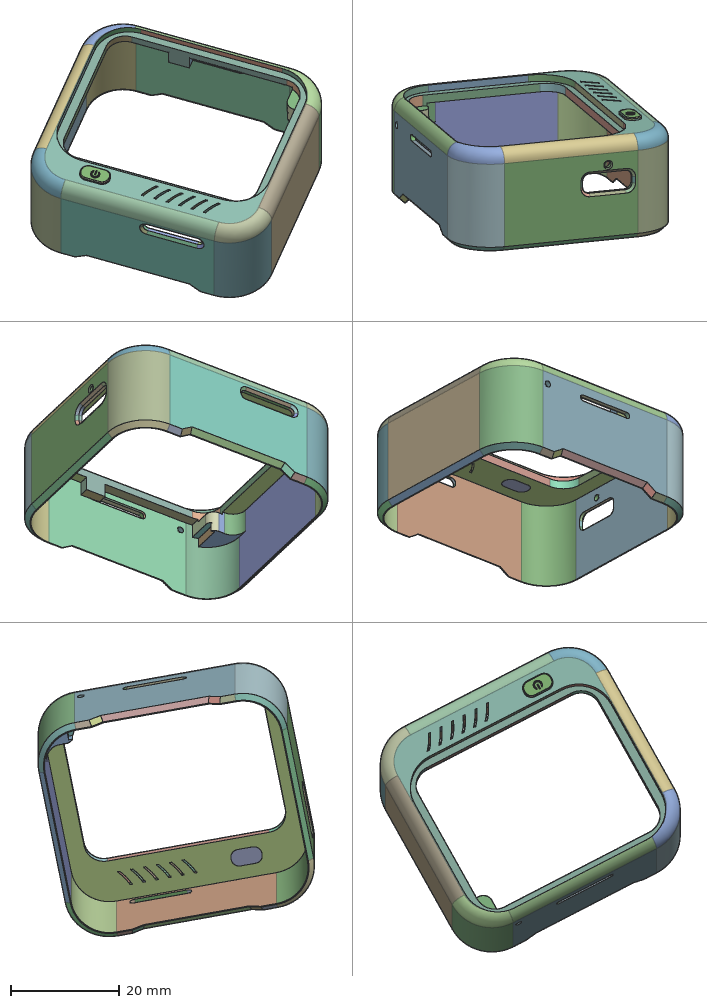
import cadquery as cq
import math

LENGTH = 46.75
WIDTH = 42.75
HEIGHT = 19.6
CORNER_RADIUS = 8.33
TOP_FILLET = 2.55
BOTTOM_CHAMFER = 1.0
WALL = 1.15
TOP_PLATE = 2.9
PLATE_UNDERSIDE = HEIGHT - TOP_PLATE
INNER_BACK_Y = WIDTH / 2 - WALL
INNER_RIGHT_X = LENGTH / 2 - WALL

OPENING_LENGTH = 37.9
OPENING_WIDTH = 30.4
OPENING_CENTER_Y = 3.05
OPENING_RADIUS = 3.75
OPENING_DEPTH = 3.4
LEDGE_SIDES = 1.7
LEDGE_ENDS = 1.35
RECESS_DEPTH = 1.3
RECESS_RADIUS = 6.8

NOTCH_LENGTH = 19.85
NOTCH_FOOT_LENGTH = 24.15
NOTCH_HEIGHT = 1.35

OPENING_CHAMFER = 0.5
CHAMFER_ANGLE = 45.0
FRONT_SLOT_LENGTH = 11.6
FRONT_SLOT_HEIGHT = 1.85
FRONT_SLOT_RADIUS = 0.9
FRONT_SLOT_X = 6.75
FRONT_SLOT_Z = 14.95
BACK_SLOT_LENGTH = 11.9
BACK_SLOT_X = 0.0
WINDOW_LENGTH = 9.65
WINDOW_HEIGHT = 3.75
WINDOW_RADIUS = 1.25
WINDOW_Y = -7.2
WINDOW_Z = 11.35
PINHOLE_DIAMETER = 1.2
PINHOLE_FLARE_DIAMETER = 1.7
PINHOLE_FLARE_DEPTH = (PINHOLE_FLARE_DIAMETER - PINHOLE_DIAMETER) / 2
LEFT_PINHOLE_Z = 14.8
BACK_PINHOLE_Z = 14.65
BACK_PINHOLE_X = 13.9

VENT_COUNT = 6
VENT_PITCH = 2.45
VENT_FIRST_X = 0.5
VENT_Y = -16.05
VENT_RISE = 2.9
VENT_RUN = 1.82
VENT_BOW = 0.1
VENT_WIDTH = 0.4

SUPPORT_BOTTOM = 13.85
BLOCK_LENGTH = 4.05
BLOCK_LEFT_X = -8.0
POST_LEFT_X = 16.35
POST_FRONT_Y = 13.7
POST_EDGE_RADIUS = 1.8
POST_ROOT_RADIUS = 2.8
POST_BOTTOM = 11.9
STEP_DEPTH = 1.15
STEP_MARGIN = 0.65

BUTTON_LENGTH = 5.8
BUTTON_WIDTH = 3.27
BUTTON_X = -10.2
BUTTON_Y = -16.05
BUTTON_PROUD = 0.5
BUTTON_CHAMFER = 0.2
BUTTON_RADIUS = 1.5

SYMBOL_OUTER_DIAMETER = 1.7
SYMBOL_INNER_DIAMETER = 1.2
SYMBOL_GAP = 1.05
SYMBOL_BAR_WIDTH = 0.2
SYMBOL_BAR_LENGTH = 0.95
SYMBOL_DEPTH = 0.15


def rounded_block(length, width, radius, bottom, top, center=(0, 0)):
    """Upright block with rounded vertical edges."""
    return (
        cq.Workplane("XY", origin=(*center, bottom))
        .rect(length, width)
        .extrude(top - bottom)
        .edges("|Z")
        .fillet(radius)
    )


def make_outer_block():
    """Solid outer shape: rounded top, notched and chamfered lower edge."""
    block = rounded_block(LENGTH, WIDTH, CORNER_RADIUS, 0, HEIGHT)
    block = block.faces(">Z").edges().fillet(TOP_FILLET)
    foot = NOTCH_FOOT_LENGTH / 2
    crest = NOTCH_LENGTH / 2
    notch = (
        cq.Workplane("XZ")
        .polyline([(-foot, 0), (-crest, NOTCH_HEIGHT), (crest, NOTCH_HEIGHT), (foot, 0)])
        .close()
        .extrude(WIDTH, both=True)
    )
    block = block.cut(notch)
    rim_zone = cq.selectors.BoxSelector(
        (-LENGTH, -WIDTH, -NOTCH_HEIGHT), (LENGTH, WIDTH, 2 * NOTCH_HEIGHT)
    )
    notch_through_edges = cq.selectors.BoxSelector((-foot - 0.45, -0.45, -0.45), (foot + 0.45, 0.45, NOTCH_HEIGHT + 0.45))
    return block.edges(rim_zone - notch_through_edges).chamfer(BOTTOM_CHAMFER)


def make_openings():
    """Screen opening through the top plate and the wider recess above its ledge."""
    center = (0, OPENING_CENTER_Y)
    opening = rounded_block(
        OPENING_LENGTH, OPENING_WIDTH, OPENING_RADIUS, HEIGHT - OPENING_DEPTH, HEIGHT, center
    )
    recess = rounded_block(
        OPENING_LENGTH + 2 * LEDGE_SIDES,
        OPENING_WIDTH + 2 * LEDGE_ENDS,
        RECESS_RADIUS,
        HEIGHT - RECESS_DEPTH,
        HEIGHT,
        center,
    )
    return opening.union(recess)


def wall_cutter(length, height, radius, chamfer):
    """Rounded opening cut down from Z = 0 through a wall, with a chamfered mouth at Z = 0."""
    through = rounded_block(length, height, radius, -2 * WALL, 0)
    mouth_outline = (
        cq.Sketch()
        .rect(length + 2 * chamfer, height + 2 * chamfer)
        .vertices()
        .fillet(radius + chamfer)
    )
    mouth = cq.Workplane("XY").placeSketch(mouth_outline).extrude(-chamfer, taper=CHAMFER_ANGLE)
    return through.union(mouth)


def on_front(cutter, x, z):
    """Turn a cutter so that its mouth lies on the front face."""
    return cutter.rotate((0, 0, 0), (1, 0, 0), 90).translate((x, -WIDTH / 2, z))


def on_back_inside(cutter, x, z):
    """Turn a cutter so that its mouth lies on the inner face of the back wall."""
    return cutter.rotate((0, 0, 0), (1, 0, 0), 90).translate((x, INNER_BACK_Y, z))


def on_left(cutter, y, z):
    """Turn a cutter so that its mouth lies on the left face, its length along Y."""
    upright = cutter.rotate((0, 0, 0), (1, 0, 0), 90)
    return upright.rotate((0, 0, 0), (0, 0, 1), -90).translate((-LENGTH / 2, y, z))


def flared_slot_cutter(stretch):
    """Narrow slot along X with a chamfered mouth at Z = 0."""
    hole = cq.Workplane("XY").slot2D(stretch + PINHOLE_DIAMETER, PINHOLE_DIAMETER).extrude(-2 * WALL)
    flare = (
        cq.Workplane("XY")
        .slot2D(stretch + PINHOLE_FLARE_DIAMETER, PINHOLE_FLARE_DIAMETER)
        .extrude(-PINHOLE_FLARE_DEPTH, taper=CHAMFER_ANGLE)
    )
    return hole.union(flare)


def pinhole_cutter():
    """Small plain round hole through a wall."""
    return cq.Workplane("XY").circle(PINHOLE_DIAMETER / 2).extrude(-2 * WALL)


def flared_pinhole_cutter():
    """Small round hole with a chamfered mouth at Z = 0."""
    flare = (
        cq.Workplane("XY")
        .circle(PINHOLE_FLARE_DIAMETER / 2)
        .extrude(-PINHOLE_FLARE_DEPTH, taper=CHAMFER_ANGLE)
    )
    return pinhole_cutter().union(flare)


def make_vents():
    """Slanted, slightly bowed slots through the top plate in front of the screen opening."""
    x = VENT_RUN / 2
    y = VENT_RISE / 2
    spread = VENT_WIDTH / 2
    vent = (
        cq.Workplane("XY", origin=(VENT_FIRST_X, VENT_Y, PLATE_UNDERSIDE))
        .moveTo(-x - spread, -y)
        .threePointArc((-VENT_BOW - spread, VENT_BOW), (x - spread, y))
        .lineTo(x + spread, y)
        .threePointArc((-VENT_BOW + spread, VENT_BOW), (-x + spread, -y))
        .close()
        .extrude(TOP_PLATE)
    )
    vents = cq.Workplane("XY")
    for i in range(VENT_COUNT):
        vents = vents.add(vent.translate((i * VENT_PITCH, 0, 0)))
    return vents.combine()


def make_block():
    """Support block on the back wall under the ledge."""
    front_y = OPENING_CENTER_Y + OPENING_WIDTH / 2
    return cq.Workplane("XY").box(
        BLOCK_LENGTH, INNER_BACK_Y - front_y, PLATE_UNDERSIDE - SUPPORT_BOTTOM, centered=False
    ).translate((BLOCK_LEFT_X, front_y, SUPPORT_BOTTOM))


def make_post():
    """Corner post below the top plate, faired into the right wall and stepped on its left side."""
    r = POST_EDGE_RADIUS
    root = POST_ROOT_RADIUS
    far_x = LENGTH / 2
    far_y = WIDTH / 2
    post = (
        cq.Workplane("XY", origin=(0, 0, POST_BOTTOM))
        .moveTo(POST_LEFT_X, far_y)
        .lineTo(POST_LEFT_X, POST_FRONT_Y + r)
        .radiusArc((POST_LEFT_X + r, POST_FRONT_Y), -r)
        .lineTo(INNER_RIGHT_X - root, POST_FRONT_Y)
        .radiusArc((INNER_RIGHT_X, POST_FRONT_Y - root), root)
        .lineTo(far_x, POST_FRONT_Y - root)
        .lineTo(far_x, far_y)
        .close()
        .extrude(PLATE_UNDERSIDE - POST_BOTTOM)
    )
    step = cq.Workplane("XY").box(
        STEP_DEPTH, WIDTH, SUPPORT_BOTTOM - POST_BOTTOM, centered=False
    ).translate((POST_LEFT_X, POST_FRONT_Y + STEP_MARGIN, POST_BOTTOM))
    return post.cut(step)


def button_blank(top):
    """Button outline from the underside of the top plate up to the given height."""
    center = (BUTTON_X, BUTTON_Y)
    return rounded_block(BUTTON_LENGTH, BUTTON_WIDTH, BUTTON_RADIUS, PLATE_UNDERSIDE, top, center)


def make_housing():
    """Hollow housing with its supports, screen opening, side openings, vents and button hole."""
    outer = make_outer_block()
    cavity = rounded_block(
        LENGTH - 2 * WALL, WIDTH - 2 * WALL, CORNER_RADIUS - WALL, 0, PLATE_UNDERSIDE
    )
    supports = make_post().union(make_block()).intersect(
        rounded_block(LENGTH - WALL, WIDTH - WALL, CORNER_RADIUS - WALL / 2, 0, HEIGHT)
    )
    window = wall_cutter(WINDOW_LENGTH, WINDOW_HEIGHT, WINDOW_RADIUS, OPENING_CHAMFER)
    front_slot = wall_cutter(FRONT_SLOT_LENGTH, FRONT_SLOT_HEIGHT, FRONT_SLOT_RADIUS, OPENING_CHAMFER)
    back_slot = flared_slot_cutter(BACK_SLOT_LENGTH - PINHOLE_DIAMETER)
    return (
        outer.cut(cavity.cut(supports))
        .cut(make_openings())
        .cut(on_front(front_slot, FRONT_SLOT_X, FRONT_SLOT_Z))
        .cut(on_back_inside(back_slot, BACK_SLOT_X, BACK_PINHOLE_Z))
        .cut(on_left(window, WINDOW_Y, WINDOW_Z))
        .cut(on_left(flared_pinhole_cutter(), WINDOW_Y, LEFT_PINHOLE_Z))
        .cut(on_back_inside(pinhole_cutter(), BACK_PINHOLE_X, BACK_PINHOLE_Z))
        .cut(make_vents())
        .cut(button_blank(HEIGHT))
    )


def make_power_symbol():
    """Broken ring with a bar in its gap, sunk into the top of the button."""
    floor = (BUTTON_X, BUTTON_Y, HEIGHT + BUTTON_PROUD - SYMBOL_DEPTH)
    ring = (
        cq.Workplane("XY", origin=floor)
        .circle(SYMBOL_OUTER_DIAMETER / 2)
        .circle(SYMBOL_INNER_DIAMETER / 2)
        .extrude(SYMBOL_DEPTH)
    )
    upper_half = cq.Workplane("XY", origin=floor).center(0, SYMBOL_OUTER_DIAMETER / 2)
    gap = upper_half.rect(SYMBOL_GAP, SYMBOL_OUTER_DIAMETER).extrude(SYMBOL_DEPTH)
    bar = upper_half.center(0, -SYMBOL_BAR_LENGTH / 2).rect(SYMBOL_BAR_WIDTH, SYMBOL_BAR_LENGTH)
    return ring.cut(gap).union(bar.extrude(SYMBOL_DEPTH))


def make_button():
    """Power button filling its hole in the top plate and standing slightly proud of it."""
    button = button_blank(HEIGHT + BUTTON_PROUD).faces(">Z").edges().chamfer(BUTTON_CHAMFER)
    return button.cut(make_power_symbol())


housing = make_housing()
power_button = make_button()
result = cq.Compound.makeCompound([housing.val(), power_button.val()])